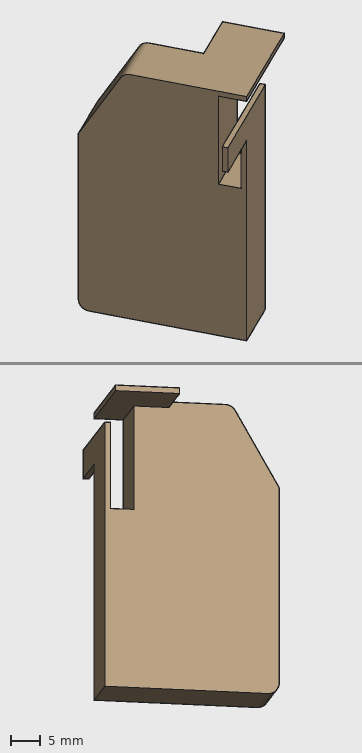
import cadquery as cq
import math

width = 30.0
height = 50.0
depth = 10.0
corner_radius = 2.0

slope_drop = 14.1
slope_angle = 60.0
slope_run = slope_drop / math.tan(math.radians(slope_angle))

wall = 1.0
slot_width = 4.0
slot_floor = 31.0
strip_top = 46.0

flange_width = 11.0
flange_reach = 10.0
tab_height = 5.0
tab_reach = 10.0


def box(x_min, y_min, z_min, size_x, size_y, size_z):
    """Box placed by its minimum corner."""
    return cq.Workplane("XY").box(size_x, size_y, size_z, centered=False).translate((x_min, y_min, z_min))


def make_body():
    """Block with a sloped upper corner and two rounded edges."""
    body = (
        cq.Workplane("XZ")
        .moveTo(0, 0)
        .lineTo(width, 0)
        .lineTo(width, height)
        .lineTo(slope_run, height)
        .lineTo(0, height - slope_drop)
        .close()
        .extrude(-depth)
    )
    for x, z in [(0, 0), (slope_run, height)]:
        edge = cq.selectors.NearestToPointSelector((x, depth / 2, z))
        body = body.edges(edge).fillet(corner_radius)
    return body


strip_x = width - wall
slot_ceiling = height - wall

slot = box(strip_x - slot_width, 0, slot_floor, slot_width, depth, slot_ceiling - slot_floor)
strip_gap = box(strip_x, 0, strip_top, wall, depth, slot_ceiling - strip_top)

flange = box(width - flange_width, depth, slot_ceiling, flange_width, flange_reach, wall)
tab = box(strip_x, -tab_reach, strip_top - tab_height, wall, tab_reach, tab_height)

result = make_body().cut(slot).cut(strip_gap).union(flange).union(tab)